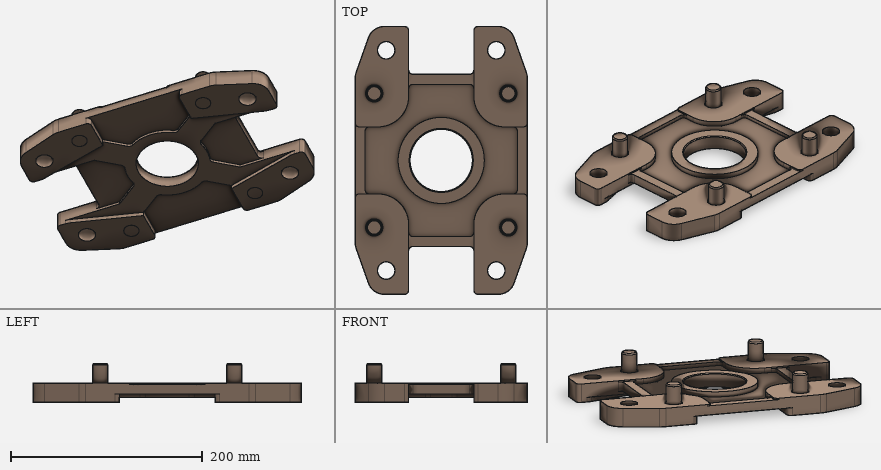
import cadquery as cq
import math

plate_width = 180.0
overall_length = 280.0
leg_height = 20.0
total_height = 40.5

frame_size = plate_width
frame_bottom = 8.5
frame_top = 18.5
frame_border = 10.5
floor_top = 14.5

ring_diameter = 90.0
ring_top = 20.0
bore_diameter = 65.0
bore_chamfer = 1.0

leg_inner_x = 34.0
pad_inner_y = 35.0
foot_inner_y = 50.0
taper_start_y = 89.0
taper_angle = 19.5
pad_corner_radius = 32.0
leg_tip_radius = 18.0
taper_blend_radius = 20.0
corner_radius = 4.5

foot_taper_start_y = 127.0
foot_taper_angle = 15.0
foot_blend_radius = 20.0

rib_bottom = 5.0
rib_angle = 53.0
rib_width = 28.0
rib_overlap = 3.0
rib_blend_radius = 5.0

mount_hole_diameter = 18.0
mount_hole_x = 57.5
mount_hole_y = 115.0
pin_diameter = 16.0
pin_clearance_diameter = 18.0
pin_seat_height = 5.0
pin_offset = 70.0
pin_chamfer = 1.0
pin_chamfer_height = 1.5

pick_margin = 0.1

half_width = plate_width / 2
half_length = overall_length / 2
corner_signs = [(sx, sy) for sx in (-1, 1) for sy in (-1, 1)]


def plane_at(height):
    return cq.Workplane("XY").workplane(offset=height)


def box(x_size, y_size, bottom, top):
    return plane_at(bottom).rect(x_size, y_size).extrude(top - bottom)


def disc(diameter, bottom, top):
    return plane_at(bottom).circle(diameter / 2).extrude(top - bottom)


def round_corner(body, x, y, radius):
    """Fillet the vertical edge that stands at (x, y)."""
    selector = cq.selectors.BoxSelector(
        (x - pick_margin, y - pick_margin, -pick_margin), (x + pick_margin, y + pick_margin, total_height)
    )
    return body.edges("|Z").edges(selector).fillet(radius)


def leg_blank(inner_y, bottom, top):
    """Tapered leg at the +X +Y corner, running outward from inner_y to the leg tip."""
    tip_x = half_width - (half_length - taper_start_y) * math.tan(math.radians(taper_angle))
    leg = plane_at(bottom).polyline(
        [
            (leg_inner_x, inner_y),
            (half_width, inner_y),
            (half_width, taper_start_y),
            (tip_x, half_length),
            (leg_inner_x, half_length),
        ]
    ).close().extrude(top - bottom)
    leg = round_corner(leg, half_width, taper_start_y, taper_blend_radius)
    leg = round_corner(leg, tip_x, half_length, leg_tip_radius)
    leg = round_corner(leg, leg_inner_x, half_length, corner_radius)
    return round_corner(leg, half_width, inner_y, corner_radius)


def at_every_corner(body):
    """Mirror a +X +Y body into all four corners and join the copies."""
    pair = body.union(body.mirror("YZ"))
    return pair.union(pair.mirror("XZ"))


def make_foot_relief():
    """Wedge under the inner side of a leg that leaves the foot narrower than the leg."""
    wedge_end_x = leg_inner_x + foot_taper_start_y * math.tan(math.radians(foot_taper_angle))
    side = plane_at(0).polyline(
        [
            (0, 0),
            (wedge_end_x, 0),
            (leg_inner_x, foot_taper_start_y),
            (leg_inner_x, half_length),
            (0, half_length),
        ]
    ).close().extrude(rib_bottom)
    return round_corner(side, leg_inner_x, foot_taper_start_y, foot_blend_radius)


def make_legs():
    """Four legs: a narrow foot under a wider pad with a large inner round."""
    foot = leg_blank(foot_inner_y, 0, frame_bottom).cut(make_foot_relief())
    pad = leg_blank(pad_inner_y, frame_bottom, leg_height)
    pad = round_corner(pad, leg_inner_x, pad_inner_y, pad_corner_radius)
    return at_every_corner(foot.union(pad))


def make_frame(legs):
    """Square frame with a sunken floor; its corners against the legs are rounded."""
    frame = box(frame_size, 2 * foot_inner_y, frame_bottom, frame_top)
    bridge = box(2 * (leg_inner_x + corner_radius), frame_size, frame_bottom, frame_top)
    frame = frame.union(bridge)
    pocket_size = frame_size - 2 * frame_border
    pocket = box(pocket_size, pocket_size, floor_top, frame_top).cut(legs)
    for sx, sy in corner_signs:
        pocket = round_corner(pocket, sx * leg_inner_x, sy * pocket_size / 2, corner_radius)
        pocket = round_corner(pocket, sx * pocket_size / 2, sy * pad_inner_y, corner_radius)
    return frame.cut(pocket)


def make_ribs():
    """Hub and two crossing diagonal ribs whose ends run into the legs, blended at the hub."""
    angle_radians = math.radians(rib_angle)
    rib_to_leg = (leg_inner_x + rib_width / 2 * math.sin(angle_radians)) / math.cos(angle_radians)
    rib = box(2 * (rib_to_leg + rib_overlap), rib_width, rib_bottom, frame_bottom)
    ribs = disc(ring_diameter, rib_bottom, frame_bottom)
    for angle in (rib_angle, -rib_angle):
        ribs = ribs.union(rib.rotate((0, 0, 0), (0, 0, 1), angle))
    reach = ring_diameter / 2 + pick_margin
    near_hub = cq.selectors.BoxSelector((-reach, -reach, 0), (reach, reach, leg_height))
    return ribs.edges("|Z").edges(near_hub).fillet(rib_blend_radius)


def make_holes():
    """Cutters for one mounting hole and one stepped pin hole per leg."""
    mount_hole = disc(mount_hole_diameter, 0, leg_height).translate((mount_hole_x, mount_hole_y, 0))
    pin_seat = disc(pin_diameter, 0, leg_height)
    pin_hole = pin_seat.union(disc(pin_clearance_diameter, pin_seat_height, leg_height))
    pin_hole = pin_hole.translate((pin_offset, pin_offset, 0))
    return at_every_corner(mount_hole.union(pin_hole))


def make_base():
    """Frame, legs and ribs as one solid, with the central ring and all holes."""
    legs = make_legs()
    base = legs.union(make_frame(legs)).union(make_ribs())
    for sx, sy in corner_signs:
        base = round_corner(base, sx * leg_inner_x, sy * frame_size / 2, corner_radius)

    base = base.union(disc(ring_diameter, rib_bottom, ring_top))
    base = base.cut(disc(bore_diameter, 0, leg_height))
    rim = plane_at(ring_top).circle(bore_diameter / 2 + bore_chamfer)
    rim = rim.workplane(offset=-bore_chamfer).circle(bore_diameter / 2).loft()
    base = base.cut(rim)
    return base.cut(make_holes())


def make_pin(sx, sy):
    """Straight pin, seated in the bottom of its hole and free above, with a chamfered top."""
    pin = disc(pin_diameter, 0, total_height)
    pin = pin.faces(">Z").edges().chamfer(pin_chamfer_height, pin_chamfer)
    return pin.translate((sx * pin_offset, sy * pin_offset, 0))


base = make_base()
pins = [make_pin(sx, sy) for sx, sy in corner_signs]

result = cq.Compound.makeCompound([base.val(), *[pin.val() for pin in pins]])